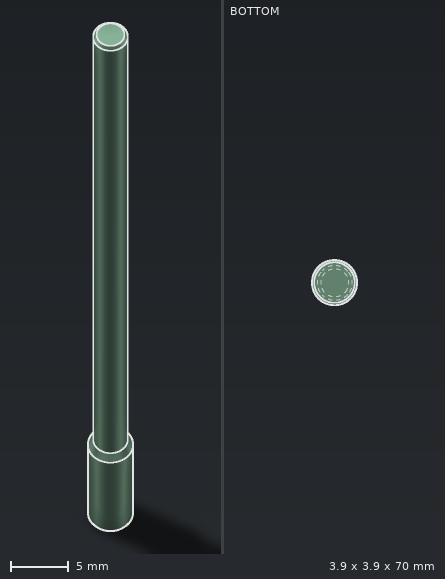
import cadquery as cq

total_length = 70.0
rod_diameter = 3.0
rod_tip_chamfer = 0.3
head_diameter = 3.9
head_length = 11.05
head_taper_height = 0.8
head_bottom_chamfer_width = 0.2
head_bottom_chamfer_height = 0.35

rod_length = total_length - head_length


def make_head():
    """Solid cylindrical head, tapered at the top to the rod diameter."""
    head_radius = head_diameter / 2
    half_profile = [
        (0, 0),
        (head_radius - head_bottom_chamfer_width, 0),
        (head_radius, head_bottom_chamfer_height),
        (head_radius, head_length - head_taper_height),
        (rod_diameter / 2, head_length),
        (0, head_length),
    ]
    return cq.Workplane("XZ").polyline(half_profile).close().revolve(360, (0, 0), (0, 1))


def make_rod():
    """Slim rod standing on the head, with a chamfered tip."""
    rod = cq.Workplane("XY").workplane(offset=head_length).circle(rod_diameter / 2).extrude(rod_length)
    return rod.faces(">Z").chamfer(rod_tip_chamfer)


head = make_head()
rod = make_rod()

result = cq.Compound.makeCompound([head.val(), rod.val()])